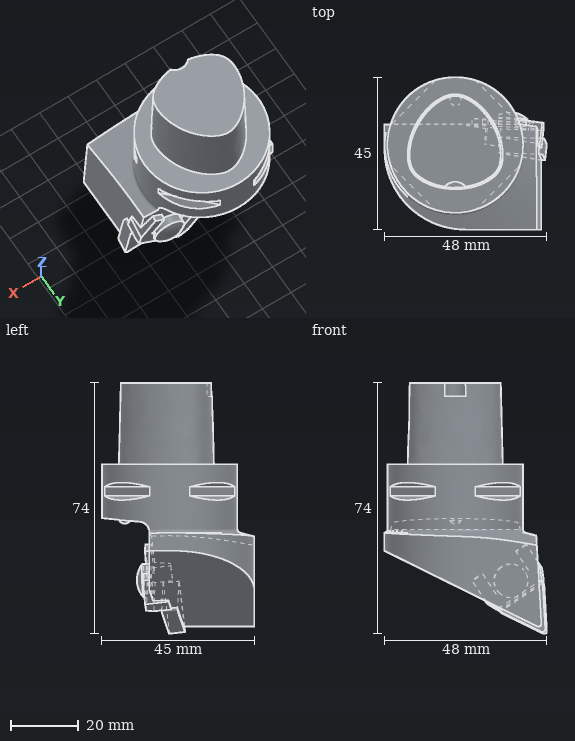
import cadquery as cq
import math

shank_length = 24.0
shank_base_radius = 14.05
shank_top_radius = 13.5
shank_lobe_height = 0.95
shank_curve_points = 72
notch_radius = 3.9
notch_axis_y = -14.8
notch_depth = 4.0

flange_radius = 40.0 / 2
flange_height = 19.2
slot_count = 4
first_slot_angle = 45.0
slot_floor_distance = 17.7
slot_floor_height = 2.6
slot_mouth_height = 5.2
slot_center_z = -8.0

neck_fillet = 1.0
shoulder_slope = 15.0
head_left_x = -20.95
head_arc_radius = 24.0
head_arc_center_y = -1.0
head_back_y = 6.1
head_left_bottom_z = -25.5
head_bottom_slope = 26.3
head_right_slope = 3.2
head_corner_z = -48.5
head_corner_fillet = 0.9

undercut_fillet = 2.95
undercut_slope = 5.5
undercut_inner_z = -17.0
undercut_reach = 29.6
nozzle_diameter = 3.8
nozzle_y = 13.25
nozzle_tip_z = -17.55

insert_top_center = (22.0, 1.5, -42.8)
insert_pointing_angle = 56.5
insert_pitch = 9.0
insert_roll = 1.7
insert_inscribed_radius = 4.7
insert_thickness = 4.7
insert_nose_radius = 0.8

clamp_floor_level = 1.6
clamp_half_width = 9.6
clamp_end_half_width = 7.7
clamp_floor_reach = 21.45
clamp_rear_reach = 17.2
clamp_arm_width = 3.7
clamp_front_taper = 4.1
clamp_bevel_start = 2.4
clamp_bevel_height = 3.25
clamp_bevel_setback = 1.25
clamp_foot_depth = 2.9
clamp_top_y = 7.1
clamp_top_pitch = 4.0
clamp_top_roll = 2.0
screw_reach = 10.15
screw_head_radius = 9.9 / 2
screw_rim_height = 0.75
screw_dome_height = 1.85

oversize = 74.0


def tan(degrees):
    return math.tan(math.radians(degrees))


def sin(degrees):
    return math.sin(math.radians(degrees))


def cos(degrees):
    return math.cos(math.radians(degrees))


def tilted_plane(origin, pitch, roll):
    """Plane facing +Y whose x axis points to the cutting corner, tilted by pitch and roll."""
    along_x = cos(insert_pointing_angle)
    along_z = -sin(insert_pointing_angle)
    across_x = -along_z
    across_z = along_x
    fall = tan(pitch)
    side_fall = tan(roll)
    normal = (
        fall * along_x + side_fall * across_x,
        1,
        fall * along_z + side_fall * across_z,
    )
    return cq.Plane(origin=origin, xDir=(along_x, -fall, along_z), normal=normal)


insert_plane = tilted_plane(insert_top_center, insert_pitch, insert_roll)


def point_behind_insert(reach, y):
    """Point on the insert's bisector, the given reach from its centre and at the given Y."""
    return (
        insert_top_center[0] - reach * cos(insert_pointing_angle),
        y,
        insert_top_center[2] + reach * sin(insert_pointing_angle),
    )


clamp_top_plane = tilted_plane(
    point_behind_insert(screw_reach, clamp_top_y), clamp_top_pitch, clamp_top_roll
)


def lobed_outline(mean_radius):
    """Constant-width curve with three lobes, one of them towards +Y."""

    def point(fraction):
        angle = 2 * math.pi * fraction
        lobe_phase = 3 * (angle - math.pi / 2)
        support = mean_radius + shank_lobe_height * math.cos(lobe_phase)
        support_rate = -3 * shank_lobe_height * math.sin(lobe_phase)
        return (
            support * math.cos(angle) - support_rate * math.sin(angle),
            support * math.sin(angle) + support_rate * math.cos(angle),
        )

    return point


def make_shank():
    base = cq.Workplane("XY").parametricCurve(lobed_outline(shank_base_radius), N=shank_curve_points)
    top = base.workplane(offset=shank_length).parametricCurve(
        lobed_outline(shank_top_radius), N=shank_curve_points
    )
    shank = top.loft(ruled=True, combine=True)
    notch = (
        cq.Workplane("XY", origin=(0, notch_axis_y, shank_length - notch_depth))
        .circle(notch_radius)
        .extrude(2 * notch_depth)
    )
    return shank.cut(notch)


def grip_slot(angle):
    """Straight slot across the rim, with a flat floor and flared sides."""
    flare = (slot_mouth_height - slot_floor_height) / 2 / (flange_radius - slot_floor_distance)
    outer_distance = flange_radius + flange_height
    outer_half = slot_floor_height / 2 + flare * (outer_distance - slot_floor_distance)
    return (
        cq.Workplane("XZ", origin=(0, 0, slot_center_z))
        .moveTo(slot_floor_distance, -slot_floor_height / 2)
        .lineTo(slot_floor_distance, slot_floor_height / 2)
        .lineTo(outer_distance, outer_half)
        .lineTo(outer_distance, -outer_half)
        .close()
        .extrude(flange_radius, both=True)
        .rotate((0, 0, 0), (0, 0, 1), angle)
    )


def make_undercut():
    """Space behind the head, rounded where the flange's underside meets the back face."""
    round_end_y = head_back_y + undercut_fillet * (1 - sin(undercut_slope))
    round_center_z = undercut_inner_z - undercut_fillet * cos(undercut_slope)
    mid_angle = 135 + undercut_slope / 2
    round_mid = (
        head_back_y + undercut_fillet * (1 + cos(mid_angle)),
        round_center_z + undercut_fillet * sin(mid_angle),
    )
    outer_z = undercut_inner_z + (undercut_reach - round_end_y) * tan(undercut_slope)
    return (
        cq.Workplane("YZ")
        .moveTo(head_back_y, -oversize)
        .lineTo(head_back_y, round_center_z)
        .threePointArc(round_mid, (round_end_y, undercut_inner_z))
        .lineTo(undercut_reach, outer_z)
        .lineTo(undercut_reach, -oversize)
        .close()
        .extrude(oversize, both=True)
    )


def make_flange():
    flange = cq.Workplane("XY").circle(flange_radius).extrude(-flange_height)
    for index in range(slot_count):
        flange = flange.cut(grip_slot(first_slot_angle + index * 360 / slot_count))
    nozzle_radius = nozzle_diameter / 2
    nozzle = cq.Workplane("XY", origin=(0, nozzle_y, nozzle_tip_z + nozzle_radius)).sphere(nozzle_radius)
    return flange.cut(make_undercut()).union(nozzle)


def shoulder_envelope():
    """Turned shape: the flange's rim, a fillet and a conical shoulder below it."""
    fillet_center_r = flange_radius + neck_fillet
    fillet_end_r = fillet_center_r - neck_fillet * sin(shoulder_slope)
    fillet_end_z = -flange_height - neck_fillet * cos(shoulder_slope)
    mid_angle = 180 + (90 - shoulder_slope) / 2
    fillet_mid = (
        fillet_center_r + neck_fillet * cos(mid_angle),
        -flange_height + neck_fillet * sin(mid_angle),
    )
    outer_z = fillet_end_z - (oversize - fillet_end_r) * tan(shoulder_slope)
    return (
        cq.Workplane("XZ")
        .moveTo(0, -flange_height)
        .lineTo(flange_radius, -flange_height)
        .threePointArc(fillet_mid, (fillet_end_r, fillet_end_z))
        .lineTo(oversize, outer_z)
        .lineTo(oversize, -oversize)
        .lineTo(0, -oversize)
        .close()
        .revolve(360, (0, 0, 0), (0, 1, 0))
    )


def make_head():
    arc_center_x = head_left_x + head_arc_radius
    front_y = head_arc_center_y - head_arc_radius
    arc_mid = (
        arc_center_x - head_arc_radius * cos(45),
        head_arc_center_y - head_arc_radius * sin(45),
    )
    plan = (
        cq.Workplane("XY")
        .moveTo(head_left_x, head_back_y)
        .lineTo(head_left_x, head_arc_center_y)
        .threePointArc(arc_mid, (arc_center_x, front_y))
        .lineTo(oversize, front_y)
        .lineTo(oversize, head_back_y)
        .close()
        .extrude(-oversize)
    )
    corner_x = head_left_x + (head_left_bottom_z - head_corner_z) / tan(head_bottom_slope)
    right_top_x = corner_x + head_corner_z * tan(head_right_slope)
    elevation = (
        cq.Workplane("XZ")
        .moveTo(head_left_x, 0)
        .lineTo(head_left_x, head_left_bottom_z)
        .lineTo(corner_x, head_corner_z)
        .lineTo(right_top_x, 0)
        .close()
        .extrude(oversize, both=True)
        .edges("|Y and >X")
        .fillet(head_corner_fillet)
    )
    return plan.intersect(elevation).intersect(shoulder_envelope())


def space_above(level, reach):
    """Space above a level of the insert's frame, ahead of a line behind the insert's centre."""
    return (
        cq.Workplane(insert_plane)
        .workplane(offset=level)
        .center(oversize / 2 - reach, 0)
        .rect(oversize, oversize)
        .extrude(oversize)
    )


def make_clamp():
    """Wedge with a bevelled front and two rear arms, with the domed head of its screw."""
    front = -insert_inscribed_radius
    shoulder = front - clamp_front_taper
    arm_inside = clamp_half_width - clamp_arm_width
    half_outline = [
        (front, clamp_end_half_width),
        (shoulder, clamp_half_width),
        (-clamp_rear_reach, clamp_half_width),
        (-clamp_rear_reach, arm_inside),
        (-screw_reach, arm_inside),
    ]
    mirrored_half = [(x, -y) for x, y in reversed(half_outline)]
    wedge = (
        cq.Workplane(insert_plane)
        .workplane(offset=-clamp_foot_depth)
        .polyline(half_outline + mirrored_half)
        .close()
        .extrude(oversize / 2)
    )
    bevel_end = clamp_bevel_start + 2 * clamp_bevel_height
    bevel_corners = [
        (front, clamp_bevel_start),
        (front - 2 * clamp_bevel_setback, bevel_end),
        (front, bevel_end),
    ]
    bevel_plane = cq.Plane(insert_plane.origin, insert_plane.xDir, -insert_plane.yDir)
    front_bevel = (
        cq.Workplane(bevel_plane).polyline(bevel_corners).close().extrude(clamp_half_width, both=True)
    )
    above_top = cq.Workplane(clamp_top_plane).rect(oversize, oversize).extrude(oversize)

    dome_mid_angle = math.atan2(screw_dome_height, screw_head_radius)
    dome_radius = screw_head_radius / math.sin(2 * dome_mid_angle)
    dome_mid = (
        dome_radius * math.sin(dome_mid_angle),
        screw_rim_height + screw_dome_height - dome_radius * (1 - math.cos(dome_mid_angle)),
    )
    screw_head = (
        cq.Workplane("XZ")
        .moveTo(0, -clamp_foot_depth)
        .lineTo(screw_head_radius, -clamp_foot_depth)
        .lineTo(screw_head_radius, screw_rim_height)
        .threePointArc(dome_mid, (0, screw_rim_height + screw_dome_height))
        .close()
        .revolve(360, (0, 0, 0), (0, 1, 0))
    )
    placed_screw = cq.Workplane(screw_head.val().moved(cq.Location(clamp_top_plane)))
    return wedge.cut(front_bevel).cut(above_top).union(placed_screw)


def make_holder():
    head = make_head()
    head = head.cut(space_above(-insert_thickness, insert_inscribed_radius))
    head = head.cut(space_above(clamp_floor_level, clamp_floor_reach))
    return make_flange().union(make_shank()).union(head).union(make_clamp())


def make_insert():
    circumscribed_diameter = 4 * insert_inscribed_radius
    return (
        cq.Workplane(insert_plane)
        .polygon(3, circumscribed_diameter)
        .extrude(-insert_thickness)
        .edges(cq.selectors.ParallelDirSelector(insert_plane.zDir))
        .fillet(insert_nose_radius)
    )


holder = make_holder()
insert = make_insert()

result = cq.Compound.makeCompound([holder.solids().val(), insert.val()])